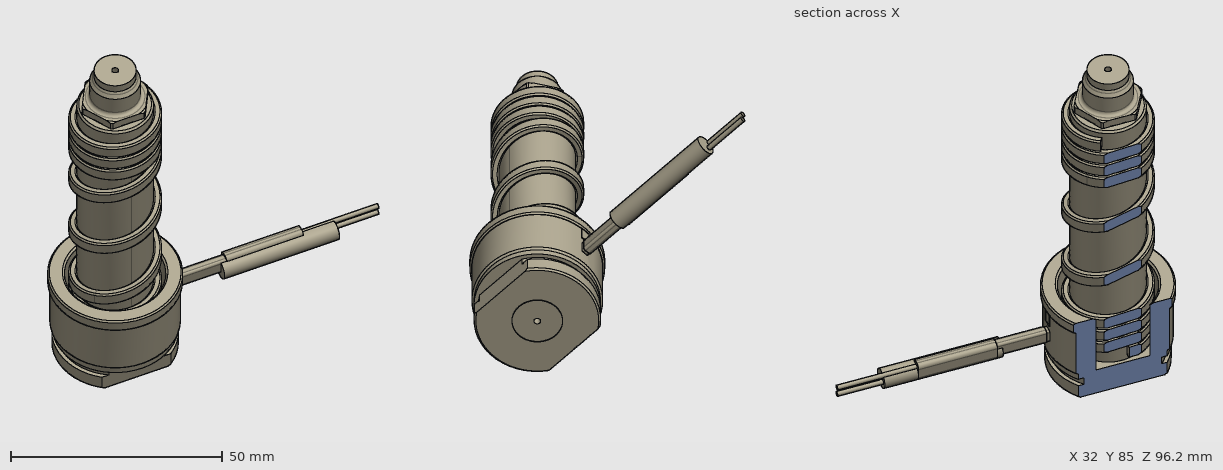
import cadquery as cq
import math

PAD_RADIUS = 6.0
PAD_HEIGHT = 0.2
BASE_RADIUS = 15.0
BASE_TOP = 4.3
BASE_CHAMFER = 0.45
NECK_RADIUS = 14.0
NECK_TOP = 6.3
FLAT_OFFSET = 12.0

COLLAR_RADIUS = 15.0
CUP_BOTTOM = 8.0
CUP_RADIUS = 15.5
CUP_BOTTOM_CHAMFER = 0.5
RIM_RADIUS = 16.0
RIM_BOTTOM = 21.85
RIM_TOP = 25.2
RIM_CHAMFER = 0.4
RECESS_RADIUS = 12.0
RECESS_CHAMFER = 0.5

BARREL_RADIUS = 9.1
BARREL_TOP = 84.3
BARREL_CHAMFER = 0.5
GROOVE_RADIUS = 7.0
HEX_BOTTOM = 84.85
HEX_TOP = 87.0
HEX_ACROSS_FLATS = 15.0
HEX_TURN = 30.0
HEX_CORNER_RADIUS = 8.5
HEX_CHAMFER_HEIGHT = 0.3
HEX_CHAMFER_WIDTH = 0.5
TIP_RADIUS = 6.05
TIP_FILLET = 1.0
TIP_TOP = 92.6
CONE_RADIUS = 5.4
CONE_TOP = 93.5
SPIGOT_RADIUS = 5.0
SPIGOT_BOTTOM = 94.1
TOTAL_HEIGHT = 96.2
BORE_DIAMETER = 1.6

COIL_RADIUS = 11.0
COIL_EMBED = 0.3
COIL_HEIGHT = 3.5
COIL_CHAMFER = 0.4
COIL_TOP_ANGLE = 150.0
COIL_TOP_CENTRE = 81.0
TIGHT_PITCH = 4.0
OPEN_PITCH = 17.8
UPPER_TIGHT_TURNS = 3.05
LOWER_TIGHT_TURNS = 3.0
RAMP_TURNS = 1 / 3
OPEN_TURNS = 2.175
POINTS_PER_TURN = 24

CABLE_CENTRE_Z = 14.55
WIRE_X = -0.95
WIRE_CENTRE_Z = 14.47
WIRE_RADIUS = 0.63
WIRE_SPACING = 2.06
WIRE_END = 69.0
SLEEVE_RADIUS = 2.5
SLEEVE_X = 0.1
SLEEVE_Z = 13.6
SLEEVE_START = 27.4
SLEEVE_LENGTH = 30.0
JACKET_WIDTH = 3.1
JACKET_HEIGHT = 5.0
JACKET_CORNER = 1.15
JACKET_START = 28.9
JACKET_LENGTH = 20.0
LEAD_X = -0.7
LEAD_WIDTH = 2.4
LEAD_HEIGHT = 3.9
LEAD_CORNER = 0.65
LEAD_START = 16.2
GROMMET_INSET = 0.15
CABLE_ROOT = 14.0

WALL_PAD_REACH = 15.7
WALL_PAD_BOTTOM = 18.1


def cylinder(radius, bottom, top):
    return cq.Workplane("XY").workplane(offset=bottom).circle(radius).extrude(top - bottom)


def base():
    pad = cylinder(PAD_RADIUS, 0, PAD_HEIGHT)
    foot = cylinder(BASE_RADIUS, PAD_HEIGHT, BASE_TOP).faces("<Z").chamfer(BASE_CHAMFER)
    neck = cylinder(NECK_RADIUS, BASE_TOP, NECK_TOP)
    between_flats = cq.Workplane("XY").box(
        2 * FLAT_OFFSET, 2 * BASE_RADIUS, NECK_TOP, centered=(True, True, False)
    )
    return pad.union(foot).union(neck).intersect(between_flats)


def cup():
    collar = cylinder(COLLAR_RADIUS, NECK_TOP, CUP_BOTTOM)
    wall = cylinder(CUP_RADIUS, CUP_BOTTOM, RIM_BOTTOM).faces("<Z").chamfer(CUP_BOTTOM_CHAMFER)
    rim = cylinder(RIM_RADIUS, RIM_BOTTOM, RIM_TOP).edges().chamfer(RIM_CHAMFER)
    recess = cylinder(RECESS_RADIUS, CUP_BOTTOM, RIM_TOP)
    body = wall.union(rim).cut(recess)
    recess_mouth = cq.selectors.RadiusNthSelector(0)
    body = body.faces(">Z").edges(recess_mouth).chamfer(RECESS_CHAMFER)
    return body.union(collar)


def barrel():
    shaft = cylinder(BARREL_RADIUS, CUP_BOTTOM, BARREL_TOP)
    return shaft.faces(">Z").chamfer(BARREL_CHAMFER)


def hexagon():
    corner_radius = HEX_ACROSS_FLATS / math.sqrt(3)
    prism = (
        cq.Workplane("XY")
        .workplane(offset=HEX_BOTTOM)
        .polygon(6, 2 * corner_radius)
        .extrude(HEX_TOP - HEX_BOTTOM)
        .rotate((0, 0, 0), (0, 0, 1), HEX_TURN)
    )
    turned = cylinder(HEX_CORNER_RADIUS, HEX_BOTTOM, HEX_TOP)
    turned = turned.faces(">Z").chamfer(HEX_CHAMFER_HEIGHT, HEX_CHAMFER_WIDTH)
    return prism.intersect(turned)


def tip():
    """Turned nozzle from the groove under the hexagon up to the spigot, filleted onto the hexagon."""
    fillet_middle = TIP_FILLET * (1 - math.sqrt(0.5))
    return (
        cq.Workplane("XZ")
        .moveTo(0, BARREL_TOP)
        .lineTo(GROOVE_RADIUS, BARREL_TOP)
        .lineTo(GROOVE_RADIUS, HEX_TOP)
        .lineTo(TIP_RADIUS + TIP_FILLET, HEX_TOP)
        .threePointArc(
            (TIP_RADIUS + fillet_middle, HEX_TOP + fillet_middle),
            (TIP_RADIUS, HEX_TOP + TIP_FILLET),
        )
        .lineTo(TIP_RADIUS, TIP_TOP)
        .lineTo(CONE_RADIUS, CONE_TOP)
        .lineTo(SPIGOT_RADIUS, SPIGOT_BOTTOM)
        .lineTo(SPIGOT_RADIUS, TOTAL_HEIGHT)
        .lineTo(0, TOTAL_HEIGHT)
        .close()
        .revolve(360, (0, 0, 0), (0, 1, 0))
    )


def coil_drop(turns):
    """Fall of the coil centre below its top end; the pitch changes linearly along each ramp."""
    pitch_change = OPEN_PITCH - TIGHT_PITCH

    def extra_drop(open_length):
        if open_length <= 0:
            return 0
        if open_length < RAMP_TURNS:
            return pitch_change * open_length**2 / (2 * RAMP_TURNS)
        return pitch_change * (open_length - RAMP_TURNS / 2)

    opening = turns - UPPER_TIGHT_TURNS
    closing = opening - RAMP_TURNS - OPEN_TURNS
    return TIGHT_PITCH * turns + extra_drop(opening) - extra_drop(closing)


def coil_edge(radius, height_offset, start, end):
    count = math.ceil((end - start) * POINTS_PER_TURN)
    points = []
    for i in range(count + 1):
        turns = start + (end - start) * i / count
        angle = math.radians(COIL_TOP_ANGLE) - 2 * math.pi * turns
        z = COIL_TOP_CENTRE - coil_drop(turns) + height_offset
        points.append(cq.Vector(radius * math.cos(angle), radius * math.sin(angle), z))
    return cq.Edge.makeSpline(points)


def coil_section(start, end):
    """Stretch of the coil between two turn counts, bounded by ruled faces between its long edges.

    The inner chamfers run on at 45 degrees into the barrel, so that the coil is fused to it.
    """
    half = COIL_HEIGHT / 2
    root = BARREL_RADIUS - COIL_EMBED
    root_half = half - COIL_CHAMFER - COIL_EMBED
    inner_shoulder = BARREL_RADIUS + COIL_CHAMFER
    shoulder = COIL_RADIUS - COIL_CHAMFER
    profile = [
        (root, -root_half),
        (inner_shoulder, -half),
        (shoulder, -half),
        (COIL_RADIUS, -half + COIL_CHAMFER),
        (COIL_RADIUS, half - COIL_CHAMFER),
        (shoulder, half),
        (inner_shoulder, half),
        (root, root_half),
    ]
    edges = [coil_edge(radius, offset, start, end) for radius, offset in profile]
    faces = []
    for i, edge in enumerate(edges):
        faces.append(cq.Face.makeRuledSurface(edges[i - 1], edge))
    for corners in ([e.startPoint() for e in edges], [e.endPoint() for e in edges]):
        faces.append(cq.Face.makeFromWires(cq.Wire.makePolygon(corners, close=True)))
    return cq.Solid.makeSolid(cq.Shell.makeShell(faces))


def coil():
    open_start = UPPER_TIGHT_TURNS
    open_end = open_start + RAMP_TURNS + OPEN_TURNS
    bottom_end = open_end + RAMP_TURNS + LOWER_TIGHT_TURNS
    limits = [0, open_start, open_end, bottom_end]
    return [coil_section(start, end) for start, end in zip(limits, limits[1:])]


def along_y(start):
    return cq.Workplane("XZ", origin=(0, start, 0))


def rounded_bar(x, width, height, corner, start, length):
    return (
        along_y(start)
        .center(x, CABLE_CENTRE_Z)
        .rect(width, height)
        .extrude(-length)
        .edges("|Y")
        .fillet(corner)
    )


def cable():
    grommet = rounded_bar(
        LEAD_X,
        LEAD_WIDTH - 2 * GROMMET_INSET,
        LEAD_HEIGHT - 2 * GROMMET_INSET,
        LEAD_CORNER - GROMMET_INSET,
        CABLE_ROOT,
        LEAD_START - CABLE_ROOT,
    )
    lead_length = JACKET_START - LEAD_START
    lead = rounded_bar(LEAD_X, LEAD_WIDTH, LEAD_HEIGHT, LEAD_CORNER, LEAD_START, lead_length)
    jacket = rounded_bar(WIRE_X, JACKET_WIDTH, JACKET_HEIGHT, JACKET_CORNER, JACKET_START, JACKET_LENGTH)
    sleeve = along_y(SLEEVE_START).center(SLEEVE_X, SLEEVE_Z).circle(SLEEVE_RADIUS).extrude(-SLEEVE_LENGTH)
    wires = (
        along_y(JACKET_START)
        .center(WIRE_X, WIRE_CENTRE_Z)
        .rarray(1, WIRE_SPACING, 1, 2)
        .circle(WIRE_RADIUS)
        .extrude(JACKET_START - WIRE_END)
    )
    return grommet.union(lead).union(jacket).union(sleeve).union(wires)


def wall_pad():
    depth = WALL_PAD_REACH - CABLE_ROOT
    height = RIM_BOTTOM - WALL_PAD_BOTTOM
    return cq.Workplane("XY", origin=(LEAD_X, CABLE_ROOT, WALL_PAD_BOTTOM)).box(
        LEAD_WIDTH, depth, height, centered=(True, False, False)
    )


turned_body = base().union(cup()).union(barrel()).union(hexagon()).union(tip())
for stretch in coil():
    turned_body = turned_body.union(cq.Workplane(stretch))
bore = cylinder(BORE_DIAMETER / 2, 0, TOTAL_HEIGHT)
result = turned_body.cut(bore).union(cable()).union(wall_pad())